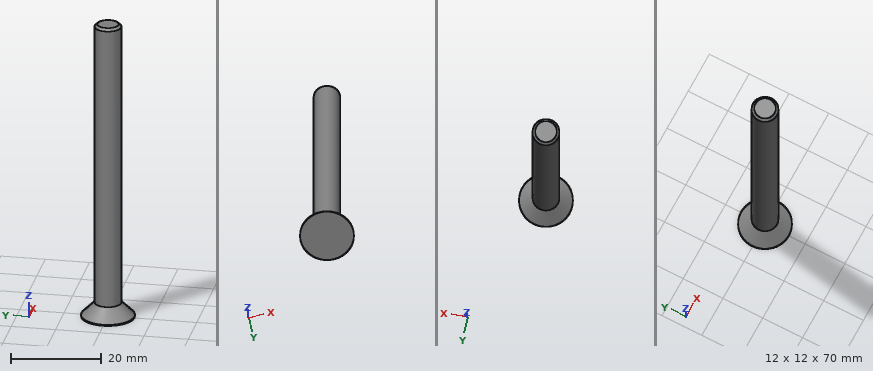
import cadquery as cq

total_length = 70.0
shank_diameter = 6.0
head_diameter = 12.0
head_rim_height = 0.3
tip_chamfer = 0.6

shank_radius = shank_diameter / 2
head_radius = head_diameter / 2
cone_height = head_radius - shank_radius
head_height = head_rim_height + cone_height


def make_head():
    """Rim and cone of the head, revolved about Z."""
    half_profile = (
        cq.Workplane("XZ")
        .moveTo(0, 0)
        .lineTo(head_radius, 0)
        .lineTo(head_radius, head_rim_height)
        .lineTo(shank_radius, head_height)
        .lineTo(0, head_height)
        .close()
    )
    return half_profile.revolve(360, (0, 0, 0), (0, 1, 0))


def make_shank():
    """Plain shank with a chamfered tip."""
    shank_length = total_length - head_height
    shank = cq.Workplane("XY").workplane(offset=head_height).circle(shank_radius).extrude(shank_length)
    return shank.faces(">Z").edges().chamfer(tip_chamfer)


result = make_head().union(make_shank())